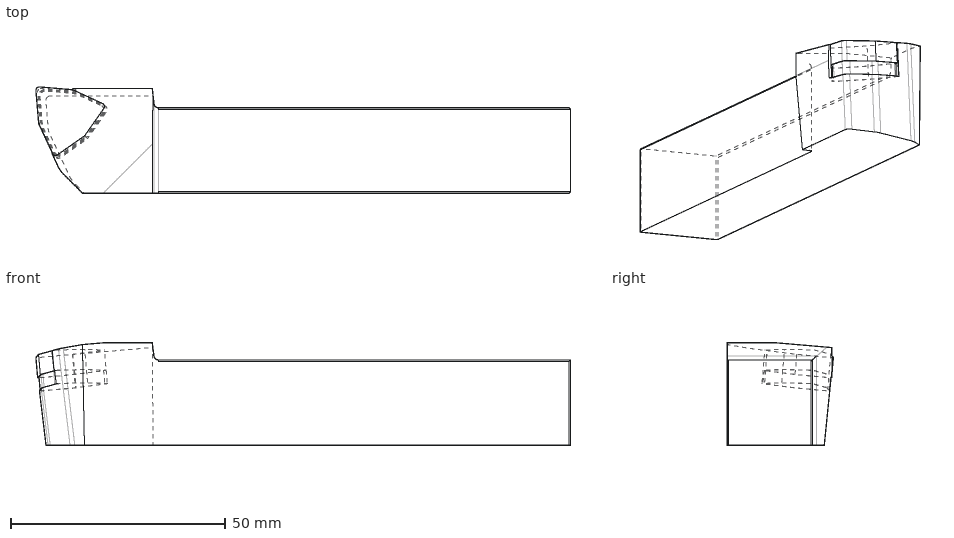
import cadquery as cq
import math

LENGTH = 124.9
SHANK = 20
SHANK_START = 25
SHANK_CHAMFER = 0.4

HEAD_HEIGHT = 24.0
HEAD_WIDTH = 24.5
HEAD_BACK_TOP = 27.2
HEAD_BACK_FOOT = 27.7
STEP_FILLET_LENGTH = 0.9

FLANK_LEAN_X = 0.12
FLANK_LEAN_Y = 0.1

RAKE_START_X = 15.7
RAKE_ANGLE = 7

INSCRIBED_RADIUS = 6.4
HALF_CORNER = 40
NOSE_RADIUS = 0.8
INSERT_THICKNESS = 4.7
OUTER_REACH = 24.9
SEAT_THICKNESS = 3.1
SEAT_INSET = 0.2
SEAT_BLUNT_RADIUS = 5
SEAT_NOSE_RADIUS = 1.2
POCKET_DEPTH = INSERT_THICKNESS + SEAT_THICKNESS

CORNER_TURNS = (0, 120, 240)
BLUNT_TURN = 60
DOWNHILL_ANGLE = 135

FLANK_TOE = (9.1, 2.2)
TOE_BLEND = ((8.5, 3.0), (8.0, 3.7))
SIDE_BLEND_START = (3.4, 13.6)
SIDE_BLEND = ((3.0, 14.5), (2.9, 15.5))
NOSE_START = (2.4, 21.5)
NOSE_BLEND = ((2.6, 22.4), (3.4, 22.7))

CLEARANCE = 25

nose_center_distance = (INSCRIBED_RADIUS - NOSE_RADIUS) / math.sin(math.radians(HALF_CORNER))
nose_offset = nose_center_distance * math.cos(math.radians(RAKE_ANGLE)) / math.sqrt(2) + NOSE_RADIUS
insert_x = nose_offset
insert_y = OUTER_REACH - nose_offset
rake_run = (RAKE_START_X - insert_x + insert_y) / math.sqrt(2)
insert_z = HEAD_HEIGHT - rake_run * math.tan(math.radians(RAKE_ANGLE))

downhill = math.radians(DOWNHILL_ANGLE)
tilt = math.radians(RAKE_ANGLE)
rake_plane = cq.Plane(
    origin=(insert_x, insert_y, insert_z),
    xDir=(
        math.cos(downhill) * math.cos(tilt),
        math.sin(downhill) * math.cos(tilt),
        -math.sin(tilt),
    ),
    normal=(
        math.cos(downhill) * math.sin(tilt),
        math.sin(downhill) * math.sin(tilt),
        math.cos(tilt),
    ),
)


def polar(distance, degrees):
    angle = math.radians(degrees)
    return (distance * math.cos(angle), distance * math.sin(angle))


def trigon(inset, top, thickness, nose_radius=NOSE_RADIUS, blunt_radius=0):
    """Trigon plate with rounded noses; top is the depth of its upper face below the rake."""
    apothem = INSCRIBED_RADIUS - inset
    nose_sweep = 90 - HALF_CORNER
    blunt_sweep = BLUNT_TURN - nose_sweep
    nose_center = (apothem - nose_radius) / math.sin(math.radians(HALF_CORNER))
    blunt_center = (apothem - blunt_radius) / math.cos(math.radians(blunt_sweep))

    def corner_points(center, radius, turn, sweep):
        """Start, middle and end of the arc that rounds one corner."""
        center_x, center_y = polar(center, turn)
        steps = [polar(radius, turn + swing) for swing in (-sweep, 0, sweep)]
        return [(center_x + step_x, center_y + step_y) for step_x, step_y in steps]

    first_point = corner_points(nose_center, nose_radius, CORNER_TURNS[0], nose_sweep)[0]
    outline = cq.Workplane(rake_plane).workplane(offset=-top).moveTo(*first_point)
    for turn in CORNER_TURNS:
        start, middle, end = corner_points(nose_center, nose_radius, turn, nose_sweep)
        if turn != CORNER_TURNS[0]:
            outline = outline.lineTo(*start)
        outline = outline.threePointArc(middle, end)
        start, middle, end = corner_points(blunt_center, blunt_radius, turn + BLUNT_TURN, blunt_sweep)
        outline = outline.lineTo(*start)
        if blunt_radius > 0:
            outline = outline.threePointArc(middle, end)
    return outline.close().extrude(-thickness)


def open_side():
    """Space outside the two free edges of the insert, down to the bottom of its seat."""
    second_nose = CORNER_TURNS[1]
    clearing_direction = second_nose - HALF_CORNER
    blunt_corner = -BLUNT_TURN
    points = [
        polar(nose_center_distance, second_nose),
        polar(CLEARANCE, clearing_direction),
        polar(CLEARANCE, CORNER_TURNS[0]),
        polar(CLEARANCE, blunt_corner),
        polar(INSCRIBED_RADIUS, blunt_corner),
    ]
    outline = cq.Workplane(rake_plane).polyline(points).close()
    return outline.extrude(-POCKET_DEPTH)


def make_shank():
    shank = cq.Workplane("XY").box(LENGTH - SHANK_START, SHANK, SHANK, centered=False)
    shank = shank.translate((SHANK_START, 0, 0))
    shank = shank.faces(">Z").edges("|X").chamfer(SHANK_CHAMFER)
    return shank.faces(">X").edges("|Z").chamfer(SHANK_CHAMFER)


def flank_prism():
    """Head outline at the underside, swept up along the lean of the flanks."""
    lean_x = FLANK_LEAN_X * HEAD_HEIGHT
    lean_y = FLANK_LEAN_Y * HEAD_HEIGHT
    outline = (
        cq.Workplane("XY")
        .moveTo(FLANK_TOE[0] + CLEARANCE, FLANK_TOE[1] - CLEARANCE)
        .lineTo(*FLANK_TOE)
        .threePointArc(*TOE_BLEND)
        .lineTo(*SIDE_BLEND_START)
        .threePointArc(*SIDE_BLEND)
        .lineTo(*NOSE_START)
        .threePointArc(*NOSE_BLEND)
        .lineTo(HEAD_BACK_FOOT + CLEARANCE, NOSE_BLEND[1][1])
        .close()
    )
    solid = cq.Solid.extrudeLinear(outline.wires().val(), [], cq.Vector(-lean_x, lean_y, HEAD_HEIGHT))
    return cq.Workplane(solid)


def head_profile(plane, top):
    """Outline of the head reaching up to top, with a leaning back that rounds into the shank."""
    run = HEAD_BACK_FOOT - HEAD_BACK_TOP
    rise = top - SHANK
    lean_length = math.hypot(run, rise)
    fillet_start = HEAD_BACK_FOOT + STEP_FILLET_LENGTH
    fillet_end = (
        HEAD_BACK_FOOT - STEP_FILLET_LENGTH * run / lean_length,
        SHANK + STEP_FILLET_LENGTH * rise / lean_length,
    )
    fillet_radius = STEP_FILLET_LENGTH / math.tan(math.atan2(rise, run) / 2)
    return (
        cq.Workplane(plane)
        .moveTo(-CLEARANCE, 0)
        .lineTo(fillet_start, 0)
        .lineTo(fillet_start, SHANK)
        .radiusArc(fillet_end, fillet_radius)
        .lineTo(HEAD_BACK_TOP, top)
        .lineTo(-CLEARANCE, top)
        .close()
    )


def head_envelope():
    """Limits of the head: it steps down to the shank both in height and in width."""
    side = head_profile("XZ", HEAD_HEIGHT).extrude(-HEAD_WIDTH)
    plan = head_profile("XY", HEAD_WIDTH).extrude(HEAD_HEIGHT)
    return side.intersect(plan)


def above_rake():
    """Half space above the rake surface."""
    return cq.Workplane(rake_plane).rect(4 * CLEARANCE, 4 * CLEARANCE).extrude(CLEARANCE)


def make_holder():
    head = flank_prism().intersect(head_envelope()).cut(above_rake())
    head = head.cut(open_side()).cut(trigon(0, 0, POCKET_DEPTH))
    seat = trigon(
        SEAT_INSET, INSERT_THICKNESS, SEAT_THICKNESS, SEAT_NOSE_RADIUS, SEAT_BLUNT_RADIUS
    )
    return head.union(seat).union(make_shank())


holder = make_holder()
insert = trigon(0, 0, INSERT_THICKNESS)
result = cq.Compound.makeCompound([holder.val(), insert.val()])